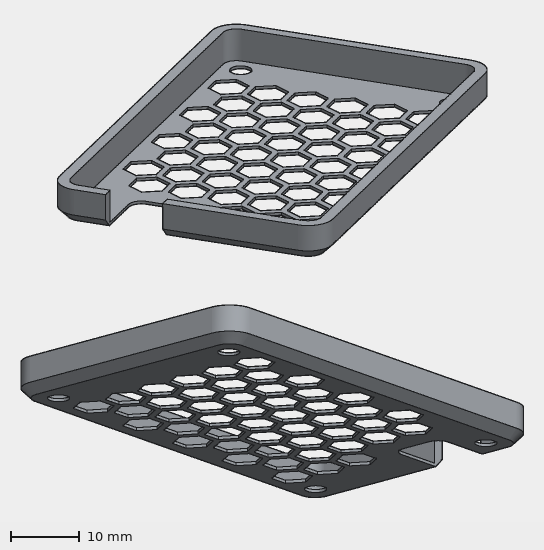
import cadquery as cq

width = 43.0
length = 67.0
height = 5.5
corner_radius = 3.9

wall = 1.8
floor = 0.5
bottom_chamfer = 1.5

screw_hole_diameter = 3.2
screw_hole_x = 16.5
screw_hole_y = 28.5

hex_diameter = 6.0
hex_pitch = 6.2
hex_row_pitch = 5.5
hex_full_row = 6
hex_rows = 9
hex_field_x = -0.2
hex_missing_in_front_row = 3

notch_width = 9.0
notch_center_x = -8.2
notch_end_y = -22.5
notch_radius = 2.0


def make_tray():
    """Open tray with rounded corners and a chamfered bottom edge."""
    outer = cq.Workplane("XY").rect(width, length).extrude(height).edges("|Z").fillet(corner_radius)
    outer = outer.faces("<Z").chamfer(bottom_chamfer)
    cavity = (
        cq.Workplane("XY", origin=(0, 0, floor))
        .rect(width - 2 * wall, length - 2 * wall)
        .extrude(height)
        .edges("|Z")
        .fillet(corner_radius - wall)
    )
    return outer.cut(cavity)


def make_screw_holes():
    return (
        cq.Workplane("XY")
        .rect(2 * screw_hole_x, 2 * screw_hole_y, forConstruction=True)
        .vertices()
        .circle(screw_hole_diameter / 2)
        .extrude(height)
    )


def hex_centers():
    """Honeycomb centres, leaving out those that would crowd the notch."""
    centers = []
    for row in range(hex_rows):
        count = hex_full_row - row % 2
        first = hex_missing_in_front_row if row == 0 else 0
        y = (row - (hex_rows - 1) / 2) * hex_row_pitch
        for column in range(first, count):
            x = hex_field_x + (column - (count - 1) / 2) * hex_pitch
            centers.append((x, y))
    return centers


def make_hex_holes():
    """Hexagonal prisms with a corner pointing along Y."""
    hexagon = cq.Sketch().regularPolygon(hex_diameter / 2, 6)
    return cq.Workplane("XY").pushPoints(hex_centers()).placeSketch(hexagon).extrude(height)


def make_notch():
    """Full-height slot from the front edge, rounded at its inner corners."""
    notch_length = notch_end_y + length / 2
    return (
        cq.Workplane("XY")
        .center(notch_center_x, notch_end_y - notch_length / 2)
        .rect(notch_width, notch_length)
        .extrude(height)
        .edges("|Z and >Y")
        .fillet(notch_radius)
    )


result = make_tray().cut(make_screw_holes()).cut(make_hex_holes()).cut(make_notch())